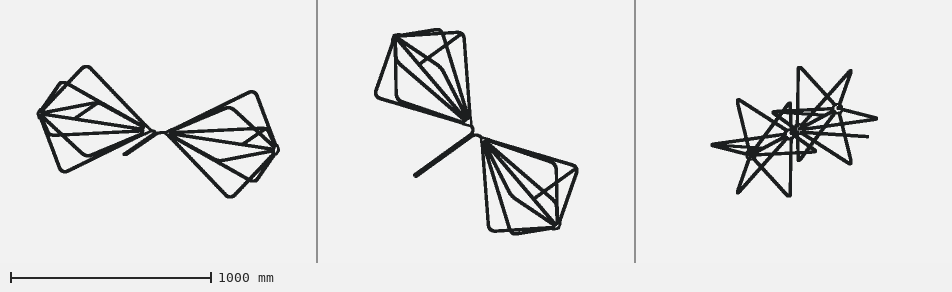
import cadquery as cq
import math


rod_diameter = 6.35
wire_diameter = 5.0
rod_radius = rod_diameter / 2
wire_radius = wire_diameter / 2

rod_count = 6
rod_spacing = 360 / rod_count
inner_angle = math.radians(34.1)
outer_angle = math.pi / 2 - inner_angle
cage_radius = 271.865
elbow_radius = 33.6
inner_apex_x = 44.6
rod_embed = 5.0
rod_end_r = 16.0

cone_apex_x = 37.5
cone_tip_radius = 3.5
cone_base_radius = 25.0
cone_tip_x = cone_apex_x + cone_tip_radius / math.tan(inner_angle)
cone_base_x = cone_apex_x + cone_base_radius / math.tan(inner_angle)

cap_end_x = 663.84
cap_nose_radius = 5.0
cap_rim_radius = 24.5
cap_back_radius = 14.0
cap_back_x = 638.5
cap_rim_x = cap_end_x - (cap_rim_radius - cap_nose_radius) / math.tan(outer_angle)

strut_x = 464.0

leg_x = 5.0
leg_bend_radius = 34.0
leg_end_y = -389.02

elbow_center_r = cage_radius - elbow_radius
inner_tangent_r = elbow_center_r + elbow_radius * math.cos(inner_angle)
inner_tangent_x = inner_apex_x + inner_tangent_r / math.tan(inner_angle)
crown_x = inner_tangent_x + elbow_radius * math.sin(inner_angle)
outer_tangent_r = elbow_center_r + elbow_radius * math.cos(outer_angle)
outer_tangent_x = crown_x + elbow_radius * math.sin(outer_angle)

rod_start_x = cone_base_x - rod_embed
rod_start_r = (rod_start_x - inner_apex_x) * math.tan(inner_angle)
rod_end_x = outer_tangent_x + (outer_tangent_r - rod_end_r) / math.tan(outer_angle)


def turned(profile):
    """Solid of revolution about the X axis from (x, r) points."""
    return cq.Workplane("XY").polyline(profile).close().revolve(360, (0, 0, 0), (1, 0, 0))


def feed_cone():
    return turned([
        (cone_tip_x, 0),
        (cone_tip_x, cone_tip_radius),
        (cone_base_x, cone_base_radius),
        (cone_base_x, 0),
    ])


def end_cap():
    return turned([
        (cap_back_x, 0),
        (cap_back_x, cap_back_radius),
        (cap_rim_x, cap_rim_radius),
        (cap_end_x, cap_nose_radius),
        (cap_end_x, 0),
    ])


def cage_rod(turn):
    """Bent rod made in the +Y half plane, then turned about the X axis."""
    path = (
        cq.Workplane("XY")
        .moveTo(rod_start_x, rod_start_r)
        .lineTo(inner_tangent_x, inner_tangent_r)
        .threePointArc((crown_x, cage_radius), (outer_tangent_x, outer_tangent_r))
        .lineTo(rod_end_x, rod_end_r)
    )
    start = cq.Plane(
        origin=(rod_start_x, rod_start_r, 0),
        xDir=(0, 0, 1),
        normal=(math.cos(inner_angle), math.sin(inner_angle), 0),
    )
    rod = cq.Workplane(start).circle(rod_radius).sweep(path)
    return rod.rotate((0, 0, 0), (1, 0, 0), turn)


def axial_rod():
    start_x = cone_base_x - rod_embed
    end_x = cap_back_x + rod_embed
    return cq.Workplane("YZ", origin=(start_x, 0, 0)).circle(rod_radius).extrude(end_x - start_x)


def strut():
    end_y = elbow_center_r + math.sqrt(elbow_radius**2 - (strut_x - crown_x) ** 2)
    return cq.Workplane("XZ", origin=(strut_x, 0, 0)).circle(wire_radius).extrude(-end_y)


def feed_leg():
    """Wire leaving the cone along the axis and bending through a quarter turn to -Y."""
    start_x = (cone_tip_x + cone_base_x) / 2
    bend_start_x = leg_x + leg_bend_radius
    bend_diagonal = leg_bend_radius * math.sqrt(0.5)
    path = (
        cq.Workplane("XY")
        .moveTo(start_x, 0)
        .lineTo(bend_start_x, 0)
        .threePointArc(
            (bend_start_x - bend_diagonal, bend_diagonal - leg_bend_radius),
            (leg_x, -leg_bend_radius),
        )
        .lineTo(leg_x, leg_end_y)
    )
    return cq.Workplane("YZ", origin=(start_x, 0, 0)).circle(wire_radius).sweep(path)


def antenna_half():
    half = feed_cone().union(end_cap()).union(axial_rod())
    for index in range(rod_count):
        half = half.union(cage_rod(index * rod_spacing))
    return half.union(strut()).union(feed_leg())


right_half = antenna_half()
left_half = right_half.mirror("YZ")

result = cq.Compound.makeCompound([left_half.val(), right_half.val()])